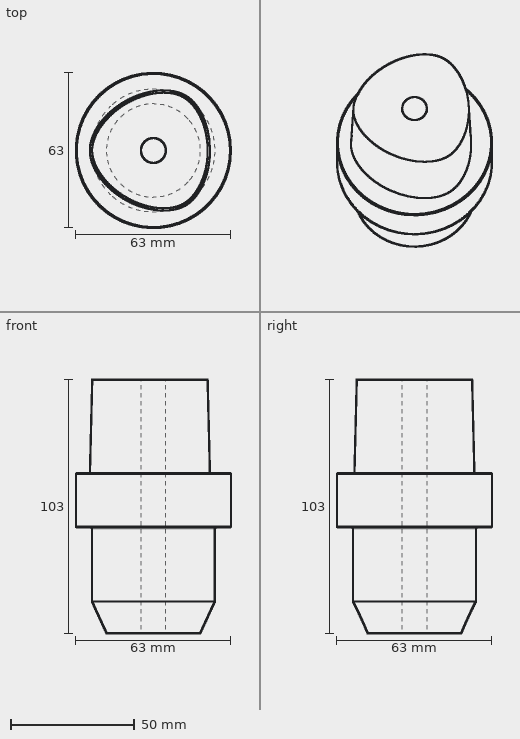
import cadquery as cq
import math

FLANGE_DIAMETER = 63.0
FLANGE_HEIGHT = 22.0
FLANGE_CHAMFER = 0.4

SHANK_HEIGHT = 38.0
SHANK_MEAN_DIAMETER = 48.8
SHANK_ECCENTRICITY = 1.4
SHANK_TAPER = 1 / 20
LOBE_COUNT = 3
SHANK_SPLINE_POINTS = 48

NOSE_DIAMETER = 50.0
NOSE_FILLET_RADIUS = 0.6
NOSE_STRAIGHT_LENGTH = 30.0
CONE_LENGTH = 13.0
CONE_END_DIAMETER = 38.0

BORE_DIAMETER = 10.0

FLANGE_BOTTOM = -FLANGE_HEIGHT
CONE_TOP = FLANGE_BOTTOM - NOSE_STRAIGHT_LENGTH
PART_BOTTOM = CONE_TOP - CONE_LENGTH


def lobed_point(mean_diameter, angle):
    """Point of a constant-width lobed curve, with one lobe pointing along -X."""
    support = mean_diameter / 2 - SHANK_ECCENTRICITY * math.cos(LOBE_COUNT * angle)
    slope = LOBE_COUNT * SHANK_ECCENTRICITY * math.sin(LOBE_COUNT * angle)
    x = support * math.cos(angle) - slope * math.sin(angle)
    y = support * math.sin(angle) + slope * math.cos(angle)
    return (x, y)


def lobed_wire(workplane, mean_diameter):
    """Closed smooth lobed outline on the given workplane."""
    step = 2 * math.pi / SHANK_SPLINE_POINTS
    points = [lobed_point(mean_diameter, i * step) for i in range(SHANK_SPLINE_POINTS)]
    return workplane.spline(points, periodic=True).close()


def make_shank():
    """Lobed shank narrowing evenly from the flange to its flat top."""
    top_diameter = SHANK_MEAN_DIAMETER - SHANK_TAPER * SHANK_HEIGHT
    base = lobed_wire(cq.Workplane("XY"), SHANK_MEAN_DIAMETER)
    return lobed_wire(base.workplane(offset=SHANK_HEIGHT), top_diameter).loft(ruled=True)


def make_flange():
    """Round flange with both rims chamfered."""
    flange = cq.Workplane("XY").circle(FLANGE_DIAMETER / 2).extrude(-FLANGE_HEIGHT)
    return flange.edges().chamfer(FLANGE_CHAMFER)


def make_nose():
    """Solid of revolution: straight cylinder, then the cone at the bottom."""
    profile = (
        cq.Workplane("XZ")
        .moveTo(0, FLANGE_BOTTOM)
        .lineTo(NOSE_DIAMETER / 2, FLANGE_BOTTOM)
        .lineTo(NOSE_DIAMETER / 2, CONE_TOP)
        .lineTo(CONE_END_DIAMETER / 2, PART_BOTTOM)
        .lineTo(0, PART_BOTTOM)
        .close()
    )
    return profile.revolve(360, (0, 0, 0), (0, 1, 0))


def make_bore():
    """Plain hole along the axis through the full height."""
    return (
        cq.Workplane("XY", origin=(0, 0, PART_BOTTOM))
        .circle(BORE_DIAMETER / 2)
        .extrude(SHANK_HEIGHT - PART_BOTTOM)
    )


def fillet_nose_root(body):
    """Round the inside corner where the nose meets the underside of the flange."""
    reach = NOSE_DIAMETER / 2 + NOSE_FILLET_RADIUS
    root = cq.selectors.BoxSelector(
        (-reach, -reach, FLANGE_BOTTOM - NOSE_FILLET_RADIUS),
        (reach, reach, FLANGE_BOTTOM + NOSE_FILLET_RADIUS),
    )
    return body.edges(root).edges(cq.selectors.RadiusNthSelector(0)).fillet(NOSE_FILLET_RADIUS)


nose_and_flange = fillet_nose_root(make_flange().union(make_nose()))
result = nose_and_flange.union(make_shank()).cut(make_bore())